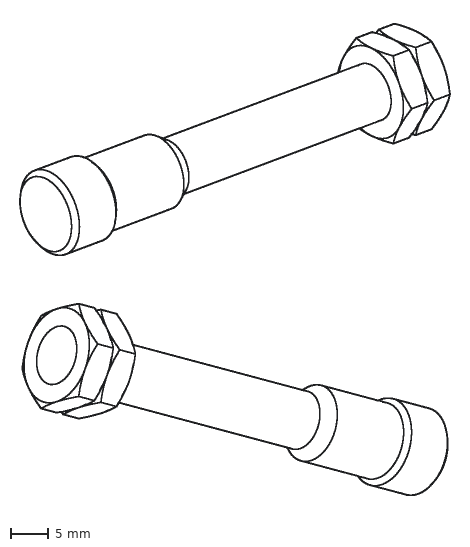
import cadquery as cq
import math

total_length = 66.0

shank_diameter = 8.0
sleeve_diameter = 10.5
head_diameter = 12.0
head_length = 8.0
sleeve_end = 20.0
taper_end = 22.0
head_chamfer = (head_diameter - sleeve_diameter) / 2

nut_count = 2
nut_thickness = 4.0
nut_across_flats = 13.0
nut_across_corners = nut_across_flats / math.cos(math.pi / 6)
nut_face_diameter = nut_across_flats
nut_chamfer_angle = 30.0
nut_corner_inset = (nut_across_corners - nut_face_diameter) / 2
nut_corner_drop = nut_corner_inset * math.tan(math.radians(nut_chamfer_angle))


def revolve_about_y(profile):
    """Revolve a half profile of (radius, y) points fully about the Y axis."""
    return cq.Workplane("XY").polyline(profile).close().revolve(360, (0, 0, 0), (0, 1, 0))


def make_bolt():
    """Stepped round bolt: head chamfered at both ends, sleeve, taper and plain shank."""
    return revolve_about_y([
        (0, 0),
        (sleeve_diameter / 2, 0),
        (head_diameter / 2, head_chamfer),
        (head_diameter / 2, head_length - head_chamfer),
        (sleeve_diameter / 2, head_length),
        (sleeve_diameter / 2, sleeve_end),
        (shank_diameter / 2, taper_end),
        (shank_diameter / 2, total_length),
        (0, total_length),
    ])


def make_nut(start_y):
    """Hexagon nut with corners on the X axis, chamfered on both faces and bored for the shank."""
    end_y = start_y + nut_thickness
    hexagon = (
        cq.Workplane("XZ", origin=(0, start_y, 0))
        .polygon(6, nut_across_corners)
        .circle(shank_diameter / 2)
        .extrude(-nut_thickness)
    )
    corner_envelope = revolve_about_y([
        (0, start_y),
        (nut_face_diameter / 2, start_y),
        (nut_across_corners / 2, start_y + nut_corner_drop),
        (nut_across_corners / 2, end_y - nut_corner_drop),
        (nut_face_diameter / 2, end_y),
        (0, end_y),
    ])
    return hexagon.intersect(corner_envelope)


bolt = make_bolt()
nuts = [make_nut(total_length - (index + 1) * nut_thickness) for index in range(nut_count)]

result = cq.Compound.makeCompound([bolt.val(), *[nut.val() for nut in nuts]])